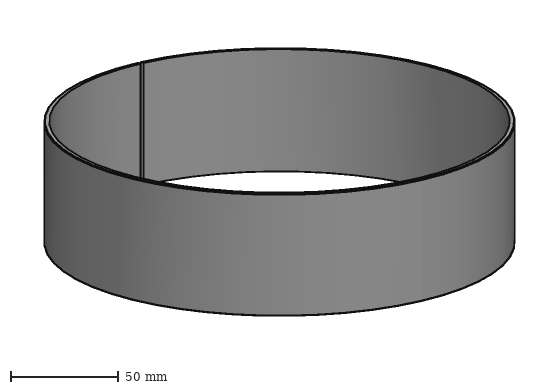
import cadquery as cq

outer_diameter = 220.0
wall = 2.5
height = 60.0
rim_chamfer = 0.5
slot_width = 1.8

outer_radius = outer_diameter / 2
inner_radius = outer_radius - wall


def chamfered_ring():
    """Thin ring with both outer rims chamfered."""
    cylinder = cq.Workplane("XY").circle(outer_radius).extrude(height)
    cylinder = cylinder.faces("<Z or >Z").edges().chamfer(rim_chamfer)
    bore = cq.Workplane("XY").circle(inner_radius).extrude(height)
    return cylinder.cut(bore)


def split_slot():
    """Full-height slot through the -X wall, with one side on the XZ plane."""
    slot = cq.Workplane("XY").box(outer_radius, slot_width, height, centered=False)
    return slot.translate((-outer_radius, 0, 0))


result = chamfered_ring().cut(split_slot())